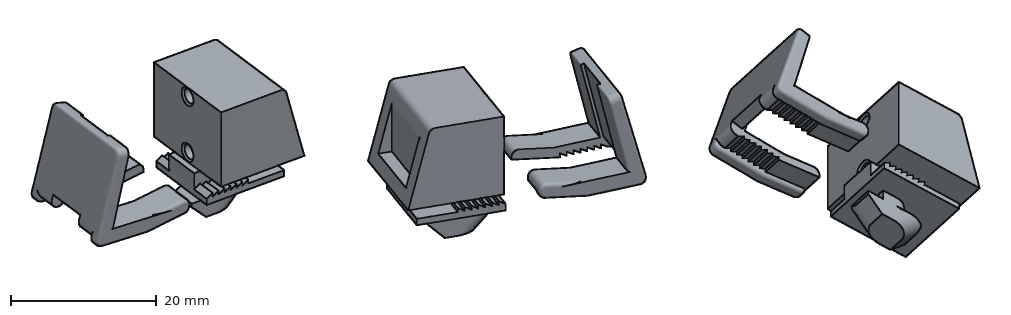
import cadquery as cq
import math


def slope(angle):
    """Sideways run per unit of length for an angle in degrees."""
    return math.tan(math.radians(angle))


def side_prism(outline, width):
    """Extrude a closed (y, z) outline along X, centred on x = 0."""
    return cq.Workplane("YZ").polyline(outline).close().extrude(width / 2, both=True)


def midpoint(a, b):
    return ((a[0] + b[0]) / 2, (a[1] + b[1]) / 2)


def nearest(point, x=0.0):
    """Selector for the edge whose centre lies nearest to (x, y, z), given point = (y, z)."""
    return cq.selectors.NearestToPointSelector((x, *point))


BLOCK_WIDTH = 16.0
BLOCK_HEIGHT = 12.0
BLOCK_DEPTH = 14.0
BACK_LEAN = 15.0
BLOCK_TOP_RADIUS = 1.0

BACK_POCKET_WIDTH = 11.0
BACK_POCKET_WALL_Y = 11.43
BACK_POCKET_FLOOR_Z = 2.18

HOLE_DIAMETER = 2.2
HOLE_DEPTH = 6.0
HOLE_CHAMFER = 0.3
HOLE_INSET = 1.5

RAIL_FRONT_Y = -1.0
RAIL_LENGTH = 13.0
RAIL_HEIGHT = 3.6
NECK_WIDTH = 6.0
FLANGE_WIDTH = 12.0
FLANGE_THICKNESS = 1.0
TOOTH_PITCH = 1.0
TOOTH_HEIGHT = 0.6
TOOTH_COUNT = 7

STEM_SIZE = 4.9
STEM_CENTER_Y = 4.0
STEM_HEIGHT = 1.6
HEAD_LENGTH = 10.0
HEAD_RIM = 0.6
HEAD_HEIGHT = 3.0
TURN_RADIUS = STEM_SIZE / 2

FLANGE_TOP_Z = FLANGE_THICKNESS - RAIL_HEIGHT
STEM_BOTTOM_Z = -RAIL_HEIGHT - STEM_HEIGHT
HEAD_BOTTOM_Z = STEM_BOTTOM_Z - HEAD_HEIGHT


def make_block():
    top_depth = BLOCK_DEPTH - BLOCK_HEIGHT * slope(BACK_LEAN)
    outline = [(0, 0), (BLOCK_DEPTH, 0), (top_depth, BLOCK_HEIGHT), (0, BLOCK_HEIGHT)]
    block = side_prism(outline, BLOCK_WIDTH)
    block = block.faces(">Z").edges(">Y").fillet(BLOCK_TOP_RADIUS)
    block = block.cut(make_back_pocket())
    for z in (HOLE_INSET, BLOCK_HEIGHT - HOLE_INSET):
        block = block.cut(make_screw_hole(z))
    return block


def make_back_pocket():
    """Notch in the leaning back, with a level floor and an upright wall."""
    size = (BACK_POCKET_WIDTH, BLOCK_DEPTH - BACK_POCKET_WALL_Y, BLOCK_HEIGHT - BACK_POCKET_FLOOR_Z)
    pocket = cq.Workplane("XY").box(*size, centered=(True, False, False))
    return pocket.translate((0, BACK_POCKET_WALL_Y, BACK_POCKET_FLOOR_Z))


def make_screw_hole(z):
    """Blind hole with a chamfered mouth, bored in from the front face."""
    radius = HOLE_DIAMETER / 2
    mouth = radius + HOLE_CHAMFER
    half_section = [(0, 0), (mouth, 0), (radius, HOLE_CHAMFER), (radius, HOLE_DEPTH), (0, HOLE_DEPTH)]
    hole = cq.Workplane("XY").polyline(half_section).close().revolve(360, (0, 0, 0), (0, 1, 0))
    return hole.translate((0, 0, z))


def make_rail():
    """Neck under the block with a flange whose front part carries ratchet teeth."""
    back_y = RAIL_FRONT_Y + RAIL_LENGTH
    neck = cq.Workplane("XY").box(NECK_WIDTH, RAIL_LENGTH, RAIL_HEIGHT, centered=(True, False, False))
    neck = neck.translate((0, RAIL_FRONT_Y, -RAIL_HEIGHT))
    outline = [(back_y, FLANGE_TOP_Z), (back_y, -RAIL_HEIGHT), (RAIL_FRONT_Y, -RAIL_HEIGHT)]
    outline.append((RAIL_FRONT_Y, FLANGE_TOP_Z))
    for i in range(1, TOOTH_COUNT + 1):
        heel_y = RAIL_FRONT_Y + i * TOOTH_PITCH
        outline.append((heel_y, FLANGE_TOP_Z + TOOTH_HEIGHT))
        outline.append((heel_y, FLANGE_TOP_Z))
    return neck.union(side_prism(outline, FLANGE_WIDTH))


def make_stem():
    stem = cq.Workplane("XY").box(STEM_SIZE, STEM_SIZE, STEM_HEIGHT, centered=(True, True, False))
    stem = stem.edges("|Z").edges("(<X and <Y) or (>X and >Y)").fillet(TURN_RADIUS)
    return stem.translate((0, STEM_CENTER_Y, STEM_BOTTOM_Z))


def make_turn_head():
    """Quarter-turn head: 45 degree flanks, two opposite flank edges rounded, ends cut to a rim."""
    half_bottom = HEAD_LENGTH / 2 - (HEAD_HEIGHT - HEAD_RIM)
    half_top = half_bottom + HEAD_HEIGHT
    outline = [(-half_bottom, 0), (half_bottom, 0), (half_top, HEAD_HEIGHT), (-half_top, HEAD_HEIGHT)]
    head = side_prism(outline, STEM_SIZE)
    head = head.edges("not(|X or |Y)").edges("(<X and <Y) or (>X and >Y)").fillet(TURN_RADIUS)
    limits = cq.Workplane("XY").box(STEM_SIZE, HEAD_LENGTH, HEAD_HEIGHT, centered=(True, True, False))
    return head.intersect(limits).translate((0, STEM_CENTER_Y, HEAD_BOTTOM_Z))


def make_mount():
    return make_block().union(make_rail()).union(make_stem()).union(make_turn_head())


CLIP_X = 0.41
CLIP_WIDTH = 16.0
PLATE_INNER_LEAN = 13.7
PLATE_OUTER_LEAN = 15.4
INNER_CORNER_Y = -18.33
PLATE_LENGTH = 12.03
PLATE_THICKNESS = 2.39
PLATE_CORNER_RADIUS = 1.0
EDGE_RADIUS = 0.5
INNER_EDGE_RADIUS = 0.2

ROOT_TILT = 3.1
TIP_TILT = 7.0
BEND_TOP_Y = -11.56
BEND_BOTTOM_Y = -12.48
BEND_BOTTOM_Z = -2.79
LEG_END_Y = -5.38
LEG_END_RADIUS = 1.0
HEEL_RADIUS = 1.0

SLOT_WIDTH = 6.44
SLOT_TOP_Z = 0.58
GROOVE_DEPTH = 0.5

RECESS_WIDTH = 12.4
RECESS_DEPTH = 0.75
RECESS_TOP_Z = -0.33
RECESS_RADIUS = 1.1

CLEARANCE = 5.0

OUTER_RUN = slope(PLATE_OUTER_LEAN)
INNER_RUN = slope(PLATE_INNER_LEAN)
OUTER_FOOT_Y = INNER_CORNER_Y - PLATE_THICKNESS


def outer_face_y(z):
    return OUTER_FOOT_Y + z * OUTER_RUN


def inner_face_y(z):
    return INNER_CORNER_Y + z * INNER_RUN


def root_bottom_z(y):
    return BEND_BOTTOM_Z - (y - BEND_BOTTOM_Y) * slope(ROOT_TILT)


def tip_bottom_z(y):
    return BEND_BOTTOM_Z + (y - BEND_BOTTOM_Y) * slope(TIP_TILT)


HEEL_Z = root_bottom_z(OUTER_FOOT_Y) / (1 + slope(ROOT_TILT) * OUTER_RUN)
HEEL = (outer_face_y(HEEL_Z), HEEL_Z)
BEND_BOTTOM = (BEND_BOTTOM_Y, BEND_BOTTOM_Z)
END_BOTTOM = (LEG_END_Y, tip_bottom_z(LEG_END_Y))
BEND_TOP = (BEND_TOP_Y, (INNER_CORNER_Y - BEND_TOP_Y) * slope(ROOT_TILT))
END_TOP = (LEG_END_Y, BEND_TOP[1] + (LEG_END_Y - BEND_TOP_Y) * slope(TIP_TILT))
INNER_CORNER = (INNER_CORNER_Y, 0.0)
PLATE_TOP_INNER_Z = PLATE_LENGTH * math.cos(math.radians(PLATE_INNER_LEAN))
PLATE_TOP_INNER = (inner_face_y(PLATE_TOP_INNER_Z), PLATE_TOP_INNER_Z)
PLATE_TOP_RUN = OUTER_RUN * (PLATE_TOP_INNER[0] - OUTER_FOOT_Y)
PLATE_TOP_OUTER_Z = (PLATE_TOP_INNER_Z + PLATE_TOP_RUN) / (1 + OUTER_RUN**2)
PLATE_TOP_OUTER = (outer_face_y(PLATE_TOP_OUTER_Z), PLATE_TOP_OUTER_Z)
PLATE_TOP = midpoint(PLATE_TOP_INNER, PLATE_TOP_OUTER)
CLIP_OUTLINE = [
    HEEL, BEND_BOTTOM, END_BOTTOM, END_TOP, BEND_TOP, INNER_CORNER, PLATE_TOP_INNER, PLATE_TOP_OUTER,
]


def make_profile(width):
    """The L outline as a prism, with its heel and leg end rounded."""
    profile = side_prism(CLIP_OUTLINE, width)
    for corner, radius in ((END_BOTTOM, LEG_END_RADIUS), (END_TOP, LEG_END_RADIUS), (HEEL, HEEL_RADIUS)):
        profile = profile.edges(nearest(corner)).fillet(radius)
    return profile


def round_side_edges(profile, width):
    """Round the outer side edges; each picked edge carries on along its tangent neighbours."""
    edges = []
    for x in (-width / 2, width / 2):
        for middle in (midpoint(HEEL, PLATE_TOP_OUTER), midpoint(BEND_BOTTOM, END_BOTTOM)):
            edges += profile.edges(nearest(middle, x)).vals()
    return profile.newObject(edges).fillet(EDGE_RADIUS)


def make_shell():
    """The whole L with rounded plate corners and edges, before slot and recess."""
    half_width = CLIP_WIDTH / 2
    shell = make_profile(CLIP_WIDTH)
    for x in (-half_width, half_width):
        shell = shell.edges(nearest(PLATE_TOP, x)).fillet(PLATE_CORNER_RADIUS)
    shell = round_side_edges(shell, CLIP_WIDTH)
    inner_side = nearest(midpoint(INNER_CORNER, PLATE_TOP_INNER), half_width)
    return shell.edges(inner_side).fillet(INNER_EDGE_RADIUS)


def recess_ceiling_z(y):
    return root_bottom_z(y) + RECESS_DEPTH


def make_recess():
    """Space under the leg for the flange, leaving a rounded ear along each side."""
    front_y = outer_face_y(RECESS_TOP_Z)
    front_corner = (front_y, recess_ceiling_z(front_y))
    outside_y = front_y - CLEARANCE
    end_y = LEG_END_Y + CLEARANCE
    outline = [
        (outside_y, RECESS_TOP_Z),
        (front_y, RECESS_TOP_Z),
        front_corner,
        (BEND_BOTTOM_Y, BEND_BOTTOM_Z + RECESS_DEPTH),
        (end_y, tip_bottom_z(end_y) + RECESS_DEPTH),
        (end_y, BEND_BOTTOM_Z - CLEARANCE),
        (outside_y, BEND_BOTTOM_Z - CLEARANCE),
    ]
    recess = side_prism(outline, RECESS_WIDTH + 2 * EDGE_RADIUS)
    recess = recess.edges(nearest(front_corner)).fillet(RECESS_RADIUS)
    ear_width = (CLIP_WIDTH - RECESS_WIDTH) / 2
    ear = round_side_edges(make_profile(ear_width), ear_width)
    for side in (-1, 1):
        recess = recess.cut(ear.translate((side * (CLIP_WIDTH - ear_width) / 2, 0, 0)))
    return recess


def make_tooth_groove(index):
    """Sawtooth groove in the recess ceiling that takes one flange tooth, counted from the bend."""
    back_y = BEND_BOTTOM_Y - index * TOOTH_PITCH
    front_y = back_y - TOOTH_PITCH
    crest_z = recess_ceiling_z(back_y)
    outline = [(front_y, recess_ceiling_z(front_y)), (back_y, crest_z + TOOTH_HEIGHT), (back_y, crest_z)]
    return side_prism(outline, RECESS_WIDTH)


def make_slot():
    """Slot for the neck, open at the leg's end; its ceiling is square to the plate's outer face."""
    mouth_y = outer_face_y(SLOT_TOP_Z)
    outside_y = mouth_y - CLEARANCE
    end_y = LEG_END_Y + CLEARANCE
    groove_floor_y = INNER_CORNER_Y - GROOVE_DEPTH
    ceiling_end_z = (SLOT_TOP_Z - OUTER_RUN * (groove_floor_y - mouth_y)) / (1 + OUTER_RUN * INNER_RUN)
    top_z = PLATE_TOP_INNER_Z + CLEARANCE
    outline = [
        (outside_y, SLOT_TOP_Z + CLEARANCE * OUTER_RUN),
        (groove_floor_y + ceiling_end_z * INNER_RUN, ceiling_end_z),
        (groove_floor_y + top_z * INNER_RUN, top_z),
        (end_y, top_z),
        (end_y, BEND_BOTTOM_Z - CLEARANCE),
        (outside_y, BEND_BOTTOM_Z - CLEARANCE),
    ]
    return side_prism(outline, SLOT_WIDTH)


def make_clip():
    clip = make_shell().cut(make_recess())
    for index in range(TOOTH_COUNT):
        clip = clip.cut(make_tooth_groove(index))
    return clip.cut(make_slot()).translate((CLIP_X, 0, 0))


mount = make_mount()
clip = make_clip()
result = cq.Compound.makeCompound([mount.solids().val(), clip.solids().val()])